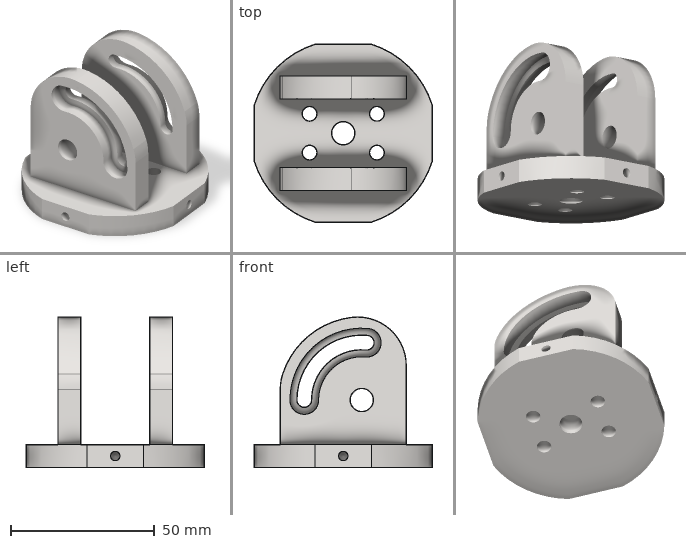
import cadquery as cq
import math

base_width = 62.0
base_diameter = 65.05
base_thickness = 8.0
center_hole_diameter = 8.0
mount_hole_diameter = 5.0
mount_spacing_x = 23.45
mount_spacing_y = 13.5

side_hole_diameter = 3.3
side_hole_depth = 10.0
drill_tip_angle = 118.0

cheek_width = 43.95
cheek_thickness = 8.0
cheek_gap = 24.0
shoulder_radius = 17.0

pivot_x = 6.45
pivot_z = 23.5
pivot_diameter = 8.0
crown_radius = 29.0
slot_radius = 20.0
slot_width = 5.0
slot_sweep = 95.0
recess_width = 10.0
recess_depth = 5.0

cheek_outer_y = cheek_gap / 2 + cheek_thickness


def make_base():
    disc = cq.Workplane("XY").circle(base_diameter / 2).extrude(base_thickness)
    square = cq.Workplane("XY").rect(base_width, base_width).extrude(base_thickness)
    base = disc.intersect(square)
    base = base.cut(cq.Workplane("XY").circle(center_hole_diameter / 2).extrude(base_thickness))
    mount_holes = (
        cq.Workplane("XY")
        .rarray(mount_spacing_x, mount_spacing_y, 2, 2)
        .circle(mount_hole_diameter / 2)
        .extrude(base_thickness)
    )
    base = base.cut(mount_holes)
    drill = make_side_drill()
    for angle in (0, 90, 180, 270):
        base = base.cut(drill.rotate((0, 0, 0), (0, 0, 1), angle))
    return base


def make_side_drill():
    """Cylinder with a conical tip, entering from the -Y flat."""
    radius = side_hole_diameter / 2
    tip_length = radius / math.tan(math.radians(drill_tip_angle / 2))
    entry_y = -base_width / 2
    shaft_end_y = entry_y + side_hole_depth
    return (
        cq.Workplane("XY")
        .moveTo(0, entry_y)
        .lineTo(radius, entry_y)
        .lineTo(radius, shaft_end_y)
        .lineTo(0, shaft_end_y + tip_length)
        .close()
        .revolve(360, (0, 0, 0), (0, 1, 0))
        .translate((0, 0, base_thickness / 2))
    )


def outer_face():
    """XZ workplane on the outer face of the -Y cheek; extrusion by a negative length goes inward."""
    return cq.Workplane("XZ", origin=(0, -cheek_outer_y, 0))


def shoulder_center(side):
    """Centre of the arc tangent to a cheek side (-1 left, 1 right) and to the crown arc."""
    x = side * (cheek_width / 2 - shoulder_radius)
    z = pivot_z + math.sqrt((crown_radius - shoulder_radius) ** 2 - (x - pivot_x) ** 2)
    return x, z


def point_on_arc(center, radius, angle):
    return center[0] + radius * math.cos(angle), center[1] + radius * math.sin(angle)


def make_cheek_blank():
    pivot = (pivot_x, pivot_z)
    left = shoulder_center(-1)
    right = shoulder_center(1)
    left_angle = math.atan2(left[1] - pivot_z, left[0] - pivot_x)
    right_angle = math.atan2(right[1] - pivot_z, right[0] - pivot_x)
    half_width = cheek_width / 2
    return (
        outer_face()
        .moveTo(-half_width, base_thickness)
        .lineTo(-half_width, left[1])
        .threePointArc(
            point_on_arc(left, shoulder_radius, (math.pi + left_angle) / 2),
            point_on_arc(left, shoulder_radius, left_angle),
        )
        .threePointArc(
            point_on_arc(pivot, crown_radius, (left_angle + right_angle) / 2),
            point_on_arc(pivot, crown_radius, right_angle),
        )
        .threePointArc(
            point_on_arc(right, shoulder_radius, right_angle / 2),
            (half_width, right[1]),
        )
        .lineTo(half_width, base_thickness)
        .close()
        .extrude(-cheek_thickness)
    )


def make_slot(width, depth):
    """Round-ended arc slot about the pivot, from level with it to just past straight above it."""
    pivot = (pivot_x, pivot_z)
    outer = slot_radius + width / 2
    inner = slot_radius - width / 2
    start_angle = math.pi
    end_angle = math.pi - math.radians(slot_sweep)
    middle_angle = (start_angle + end_angle) / 2
    upper_end = point_on_arc(pivot, slot_radius, end_angle)
    lower_end = point_on_arc(pivot, slot_radius, start_angle)
    return (
        outer_face()
        .moveTo(*point_on_arc(pivot, outer, start_angle))
        .threePointArc(point_on_arc(pivot, outer, middle_angle), point_on_arc(pivot, outer, end_angle))
        .threePointArc(
            point_on_arc(upper_end, width / 2, end_angle - math.pi / 2),
            point_on_arc(pivot, inner, end_angle),
        )
        .threePointArc(point_on_arc(pivot, inner, middle_angle), point_on_arc(pivot, inner, start_angle))
        .threePointArc(
            point_on_arc(lower_end, width / 2, start_angle + math.pi / 2),
            point_on_arc(pivot, outer, start_angle),
        )
        .close()
        .extrude(-depth)
    )


def make_cheek():
    pivot_hole = (
        outer_face()
        .center(pivot_x, pivot_z)
        .circle(pivot_diameter / 2)
        .extrude(-cheek_thickness)
    )
    return (
        make_cheek_blank()
        .cut(pivot_hole)
        .cut(make_slot(slot_width, cheek_thickness))
        .cut(make_slot(recess_width, recess_depth))
    )


front_cheek = make_cheek()
rear_cheek = front_cheek.mirror("XZ")
result = make_base().union(front_cheek).union(rear_cheek)